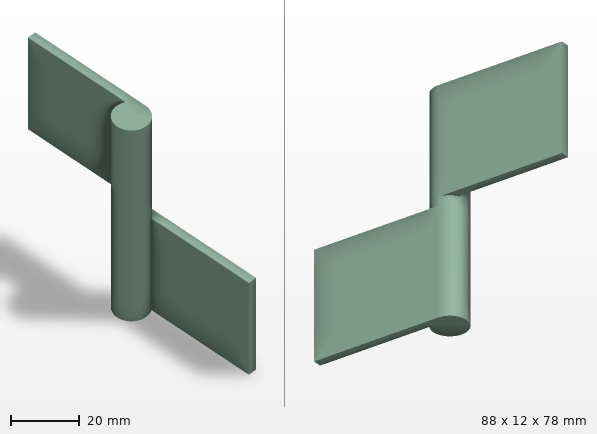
import cadquery as cq

overall_width = 88.0
knuckle_diameter = 12.0
leaf_height = 37.5
leaf_thickness = 3.0
washer_thickness = 3.0

knuckle_radius = knuckle_diameter / 2
leaf_reach = overall_width / 2
washer_top = washer_thickness / 2
washer_bottom = -washer_thickness / 2


def make_leaf(side, bottom):
    """Flat plate tangent to the back of its round knuckle; side is -1 for -X and +1 for +X."""
    knuckle = cq.Workplane("XY", origin=(0, 0, bottom)).circle(knuckle_radius).extrude(leaf_height)
    plate = (
        cq.Workplane("XY", origin=(0, 0, bottom))
        .moveTo(0, knuckle_radius)
        .lineTo(side * leaf_reach, knuckle_radius)
        .lineTo(side * leaf_reach, knuckle_radius - leaf_thickness)
        .lineTo(0, knuckle_radius - leaf_thickness)
        .close()
        .extrude(leaf_height)
    )
    return knuckle.union(plate).solids()


def make_washer():
    """Round spacer between the two knuckles."""
    return (
        cq.Workplane("XY", origin=(0, 0, washer_bottom))
        .circle(knuckle_radius)
        .extrude(washer_thickness)
    )


leaf_placements = [(-1, washer_top), (1, washer_bottom - leaf_height)]
leaves = [make_leaf(side, bottom) for side, bottom in leaf_placements]
washer = make_washer()

result = cq.Compound.makeCompound([*(leaf.val() for leaf in leaves), washer.val()])